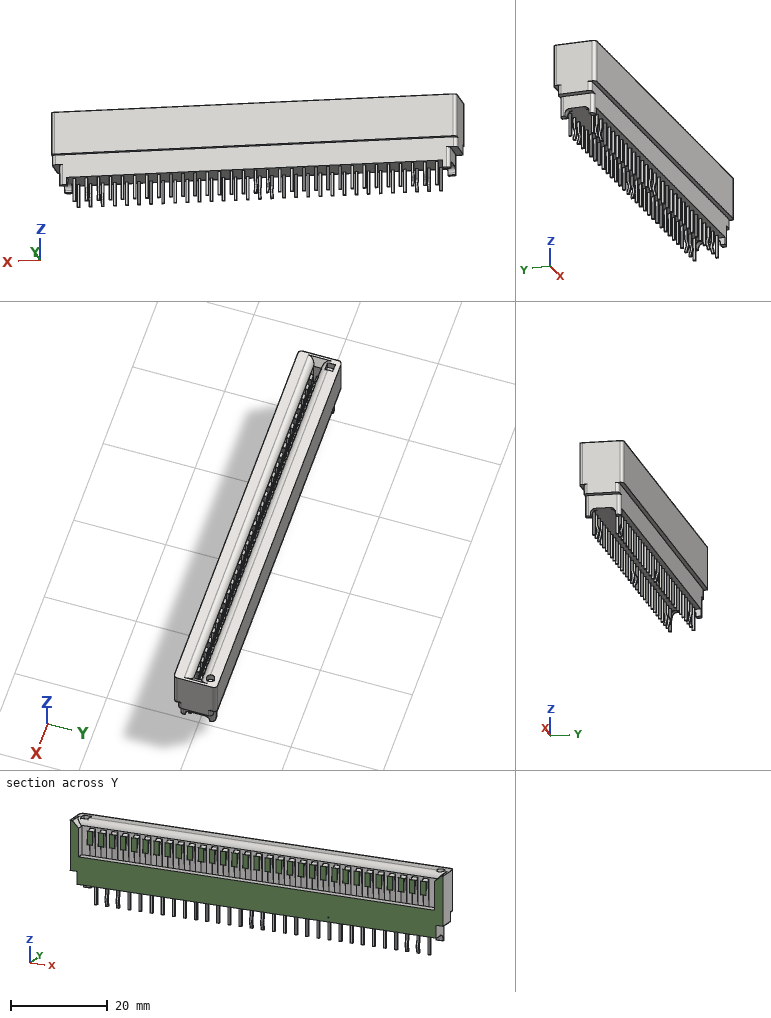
import cadquery as cq

length = 85.3
width = 9.4
height = 18.7
corner_radius = 0.8

wide_depth = 9.0
ledge_depth = 11.0
housing_depth = 13.8
foot_depth = 15.4
lower_width = 7.5
foot_end_inset = 1.5
foot_inner_inset = 3.2
foot_arch_half_width = 2.65
foot_arch_radius = 1.1

slot_half_width = 0.85
slot_depth = 7.7
lead_in_run = 1.6
lead_in_depth = 1.3
lead_in_radius = 1.7
slot_end_wall = 0.555
slot_end_run = 1.45
slot_end_drop = slot_end_run
slot_mouth_length = length - 2 * slot_end_wall
slot_length = slot_mouth_length - 2 * slot_end_run

marker_inset = 2.05
marker_y = 2.7
marker_size = 1.7
marker_depth = 1.7

contact_count = 31
contact_pitch = 2.54
pin_width = 0.5
pin_thickness = 0.5
pin_inner_y = 2.2
pin_embed = 0.85
pin_outer_y = pin_inner_y + pin_thickness
spring_width = 1.3
spring_bow = 0.5
spring_top_depth = 1.6
spring_lip_radius = 0.7
spring_crest_depth = spring_top_depth + spring_bow
kink_offset = 0.3
kink_start_depth = 16.0
kink_inner_start_depth = 16.9
kink_inner_end_depth = 17.4
kink_end_depth = 18.4
middle = contact_count // 2
kinked_pins = (1, 2, middle - 1, middle, contact_count - 3, contact_count - 2)


def rounded_block(size_x, size_y, bottom_depth):
    """Block with rounded vertical edges from the top face down to a depth."""
    block = cq.Workplane("XY").workplane(offset=-bottom_depth)
    block = block.rect(size_x, size_y).extrude(bottom_depth)
    return block.edges("|Z").fillet(corner_radius)


def centred_box(size_x, size_y, top_depth, bottom_depth):
    """Plain block between two depths."""
    block = cq.Workplane("XY").workplane(offset=-bottom_depth)
    return block.rect(size_x, size_y).extrude(bottom_depth - top_depth)


def make_housing():
    """Stepped housing with an arched foot at each end."""
    foot_span = length - 2 * foot_end_inset
    housing = rounded_block(length, width, wide_depth)
    housing = housing.union(rounded_block(length, lower_width, ledge_depth))
    housing = housing.union(rounded_block(foot_span, lower_width, foot_depth))
    gap_between_feet = centred_box(length - 2 * foot_inner_inset, width, housing_depth, foot_depth)
    arch = centred_box(length, 2 * foot_arch_half_width, housing_depth, foot_depth)
    arch = arch.edges("|X and >Z").fillet(foot_arch_radius)
    return housing.cut(gap_between_feet).cut(arch)


def make_card_slot():
    """Slot cutter: flared cross-section limited by the sloping ends."""
    mouth_half_width = slot_half_width + lead_in_run
    flare = (
        cq.Workplane("YZ")
        .moveTo(-mouth_half_width, 0)
        .radiusArc((-slot_half_width, -lead_in_depth), lead_in_radius)
        .lineTo(-slot_half_width, -slot_depth)
        .lineTo(slot_half_width, -slot_depth)
        .lineTo(slot_half_width, -lead_in_depth)
        .radiusArc((mouth_half_width, 0), lead_in_radius)
        .close()
        .extrude(slot_mouth_length / 2, both=True)
    )
    end_profile = (
        cq.Workplane("XZ")
        .moveTo(-slot_mouth_length / 2, 0)
        .lineTo(-slot_length / 2, -slot_end_drop)
        .lineTo(-slot_length / 2, -slot_depth)
        .lineTo(slot_length / 2, -slot_depth)
        .lineTo(slot_length / 2, -slot_end_drop)
        .lineTo(slot_mouth_length / 2, 0)
        .close()
        .extrude(width / 2, both=True)
    )
    return flare.intersect(end_profile)


def make_markers():
    """Square recess at one end of the slot and round recess at the other."""
    marker_x = length / 2 - marker_inset
    floor = cq.Workplane("XY").workplane(offset=-marker_depth)
    square = floor.rect(marker_size, marker_size).extrude(marker_depth)
    disc = floor.circle(marker_size / 2).extrude(marker_depth)
    return square.translate((-marker_x, marker_y, 0)).union(disc.translate((marker_x, marker_y, 0)))


def extrude_profile(profile, thickness, x):
    """Extrude a closed Y-Z profile symmetrically about the given X."""
    return profile.extrude(thickness / 2, both=True).translate((x, 0, 0)).val()


def make_spring(x):
    """Contact on the +Y slot wall: a hollow lip out to a crest, then a taper back to the wall."""
    profile = (
        cq.Workplane("YZ")
        .moveTo(slot_half_width, -spring_top_depth)
        .radiusArc((slot_half_width - spring_bow, -spring_crest_depth), -spring_lip_radius)
        .lineTo(slot_half_width, -slot_depth)
        .lineTo(slot_half_width + spring_bow, -slot_depth)
        .lineTo(slot_half_width + spring_bow, -spring_top_depth)
        .close()
    )
    return extrude_profile(profile, spring_width, x)


def make_pin(x, kinked):
    """Tail of one +Y contact, straight or kinked towards the centre plane."""
    path = [(0, housing_depth - pin_embed)]
    if kinked:
        path += [
            (0, kink_start_depth),
            (kink_offset, kink_inner_start_depth),
            (kink_offset, kink_inner_end_depth),
            (0, kink_end_depth),
        ]
    path.append((0, height))
    inner = [(pin_inner_y - shift, -depth) for shift, depth in path]
    outer = [(pin_outer_y - shift, -depth) for shift, depth in reversed(path)]
    profile = cq.Workplane("YZ").polyline(inner + outer).close()
    return extrude_profile(profile, pin_width, x)


contacts = []
for index in range(contact_count):
    x = (index - middle) * contact_pitch
    for solid in (make_spring(x), make_pin(x, index in kinked_pins)):
        contacts += [solid, solid.mirror("XZ")]

body = make_housing().cut(make_card_slot()).cut(make_markers())
result = cq.Workplane(obj=body.val().fuse(*contacts))